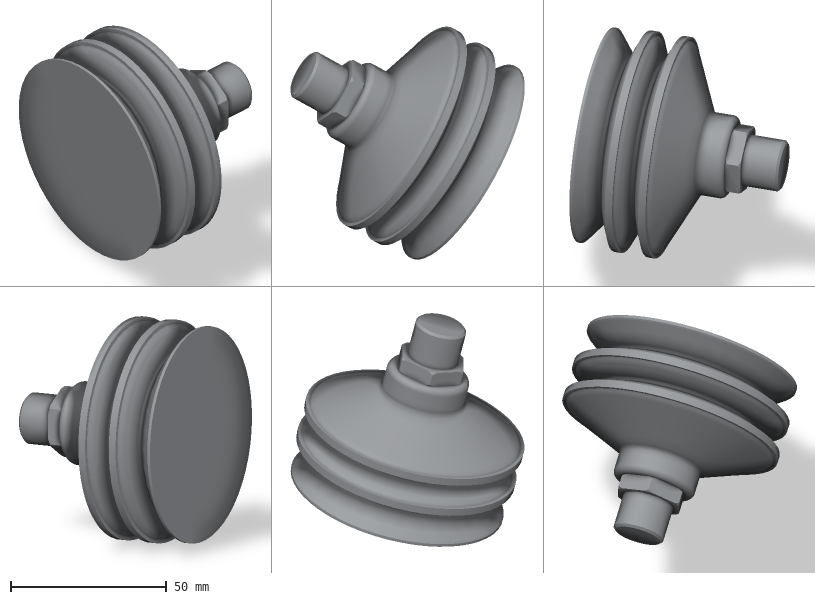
import cadquery as cq
import math

total_length = 62.0
rim_radius = 36.0
rim_width = 2.45
fold_pitch = 11.0
first_rim_start = 11.95
fold_count = 2

lip_radius = 35.0
lip_bevel = 0.4
lip_width = 1.4
neck_radius = 27.35
neck_start = 7.1
neck_width = 1.2
neck_depth = 0.2

shoulder_outer_radius = 34.8
shoulder_inner_radius = 32.8
shoulder_width = 1.45
shoulder_bulge = 0.2

boss_radius = 27.0 / 2
boss_end = 45.0
boss_round = 1.95
flare_radius = 14.1
flare_start = 36.1
flare_end = 37.4
flare_sag = 0.2

hex_across_flats = 20.15
hex_length = 5.05
hex_chamfer = 0.7
stud_diameter = 16.6
stud_chamfer = 0.8


def arc_between(profile, start, end, bulge):
    """Add an arc whose middle is offset radially outward by bulge."""
    middle = ((start[0] + end[0]) / 2 + bulge, (start[1] + end[1]) / 2)
    return profile.threePointArc(middle, end)


def add_fold(profile, index):
    """Add a neck groove followed by one rim with its rounded shoulders."""
    shift = index * fold_pitch
    neck_bottom = (neck_radius, neck_start + shift)
    neck_top = (neck_radius, neck_start + neck_width + shift)
    rim_start = first_rim_start + shift
    rim_end = rim_start + rim_width
    lower_inner = (shoulder_inner_radius, rim_start - shoulder_width)
    lower_outer = (shoulder_outer_radius, rim_start)
    upper_outer = (shoulder_outer_radius, rim_end)
    upper_inner = (shoulder_inner_radius, rim_end + shoulder_width)

    profile = profile.lineTo(*neck_bottom)
    profile = arc_between(profile, neck_bottom, neck_top, -neck_depth)
    profile = profile.lineTo(*lower_inner)
    profile = arc_between(profile, lower_inner, lower_outer, shoulder_bulge)
    profile = profile.lineTo(rim_radius, rim_start).lineTo(rim_radius, rim_end).lineTo(*upper_outer)
    return arc_between(profile, upper_outer, upper_inner, shoulder_bulge)


def make_bellows():
    profile = cq.Workplane("XY").lineTo(lip_radius, 0)
    profile = profile.lineTo(lip_radius, lip_width - lip_bevel)
    profile = profile.lineTo(lip_radius - lip_bevel, lip_width)
    for index in range(fold_count):
        profile = add_fold(profile, index)
    flare_bottom = (flare_radius, flare_start)
    flare_top = (boss_radius, flare_end)
    profile = profile.lineTo(*flare_bottom)
    profile = arc_between(profile, flare_bottom, flare_top, -flare_sag)
    profile = profile.lineTo(boss_radius, boss_end - boss_round)
    round_offset = boss_round * (1 - math.sqrt(0.5))
    profile = profile.threePointArc(
        (boss_radius - round_offset, boss_end - round_offset),
        (boss_radius - boss_round, boss_end),
    )
    profile = profile.lineTo(0, boss_end).close()
    return profile.revolve(360, (0, 0, 0), (0, 1, 0))


def along_y(start):
    """Sketch plane facing +Y at the given position."""
    return cq.Workplane("XZ", origin=(0, start, 0))


def make_hex():
    """Hexagon with flats facing X and lightly chamfered corners."""
    corner_diameter = hex_across_flats / math.cos(math.radians(30))
    corner_radius = corner_diameter / 2
    prism = along_y(boss_end).transformed(rotate=(0, 0, 90)).polygon(6, corner_diameter)
    prism = prism.extrude(-hex_length)
    envelope = along_y(boss_end).circle(corner_radius).extrude(-hex_length)
    envelope = envelope.faces("<Y or >Y").edges().chamfer(hex_chamfer)
    return prism.intersect(envelope)


def make_stud():
    stud = along_y(boss_end).circle(stud_diameter / 2).extrude(boss_end - total_length)
    return stud.faces(">Y").chamfer(stud_chamfer)


result = make_bellows().union(make_hex()).union(make_stud())